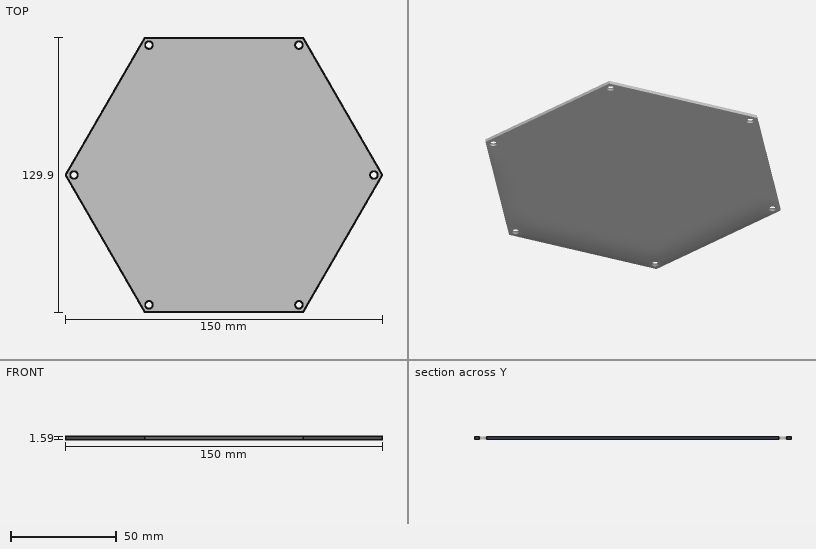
import cadquery as cq

CORNER_COUNT = 6
CORNER_DIAMETER = 150.0
THICKNESS = 1.59
HOLE_DIAMETER = 3.5
HOLE_INSET = 4.0

hole_circle_radius = CORNER_DIAMETER / 2 - HOLE_INSET


def hexagonal_plate():
    """Flat regular hexagon with two corners on the X axis."""
    return cq.Workplane("XY").polygon(CORNER_COUNT, CORNER_DIAMETER).extrude(THICKNESS)


def drill_corner_holes(plate):
    """One through hole just inside each corner."""
    return (
        plate.faces(">Z")
        .workplane(origin=(0, 0, THICKNESS))
        .polarArray(hole_circle_radius, 0, 360, CORNER_COUNT)
        .hole(HOLE_DIAMETER)
    )


result = drill_corner_holes(hexagonal_plate())